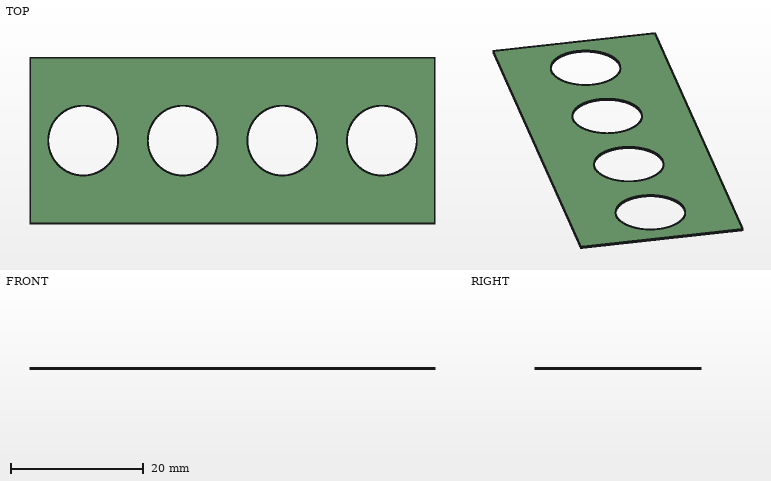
import cadquery as cq

length = 61.0
width = 25.0
thickness = 0.25

hole_count = 4
hole_diameter = 10.5
hole_pitch = 15.0

plate = cq.Workplane("XY").box(length, width, thickness)

result = (
    plate.faces(">Z")
    .workplane()
    .rarray(hole_pitch, 0.6, hole_count, 1)
    .hole(hole_diameter)
)